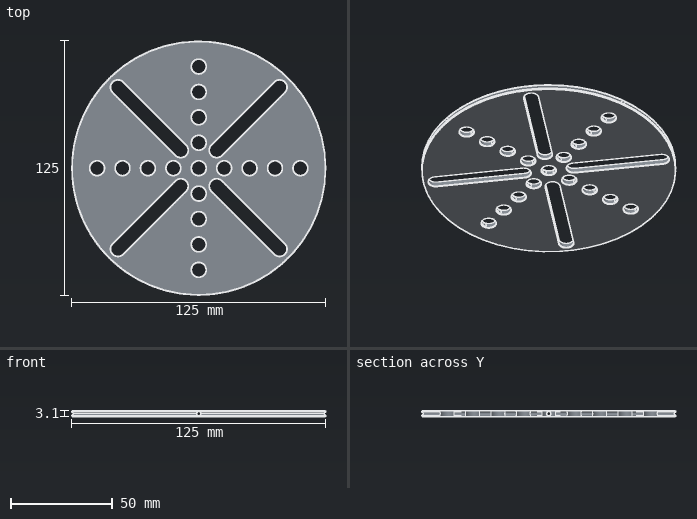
import cadquery as cq

plate_diameter = 125.0
plate_thickness = 3.1
edge_chamfer = 0.3

groove_width = 1.6
groove_depth = 1.0

hole_diameter = 7.0
hole_pitch = 12.5
holes_per_arm = 4

slot_width = hole_diameter
slot_inner_radius = 12.5
slot_outer_radius = 56.2
slot_angles = (45, 135, 225, 315)

cross_bore_diameter = 2.0
cross_bore_directions = ((1, 0, 0), (0, 1, 0))

plate_radius = plate_diameter / 2


def hole_centres():
    """Centre point plus evenly pitched points along both axes."""
    centres = [(0, 0)]
    for step in range(1, holes_per_arm + 1):
        reach = step * hole_pitch
        centres += [(reach, 0), (-reach, 0), (0, reach), (0, -reach)]
    return centres


def upright_cylinder(diameter):
    """Cylinder as tall as the plate, centred on the origin."""
    return cq.Workplane("XY").circle(diameter / 2).extrude(plate_thickness / 2, both=True)


def make_slot_cutter():
    """Radial slot along +X."""
    centre_distance = slot_outer_radius - slot_inner_radius
    return (
        cq.Workplane("XY")
        .center((slot_inner_radius + slot_outer_radius) / 2, 0)
        .slot2D(centre_distance + slot_width, slot_width)
        .extrude(plate_thickness / 2, both=True)
    )


def make_groove_cutter():
    """Ring of triangular section whose point reaches into the rim."""
    return (
        cq.Workplane("XZ")
        .moveTo(plate_radius - groove_depth, 0)
        .lineTo(plate_radius + groove_depth, -groove_width)
        .lineTo(plate_radius + groove_depth, groove_width)
        .close()
        .revolve(360, (0, 0), (0, 1))
    )


def make_cross_bore(direction):
    """Bore along a direction in the XY plane, through the whole plate."""
    plane = cq.Plane(origin=(0, 0, 0), xDir=(0, 0, 1), normal=direction)
    return cq.Workplane(plane).circle(cross_bore_diameter / 2).extrude(plate_diameter, both=True)


plate = upright_cylinder(plate_diameter)

hole_cutter = upright_cylinder(hole_diameter)
for x, y in hole_centres():
    plate = plate.cut(hole_cutter.translate((x, y, 0)))

slot_cutter = make_slot_cutter()
for angle in slot_angles:
    plate = plate.cut(slot_cutter.rotate((0, 0, 0), (0, 0, 1), angle))

plate = plate.faces("<Z or >Z").edges().chamfer(edge_chamfer)

plate = plate.cut(make_groove_cutter())

for direction in cross_bore_directions:
    plate = plate.cut(make_cross_bore(direction))

result = plate